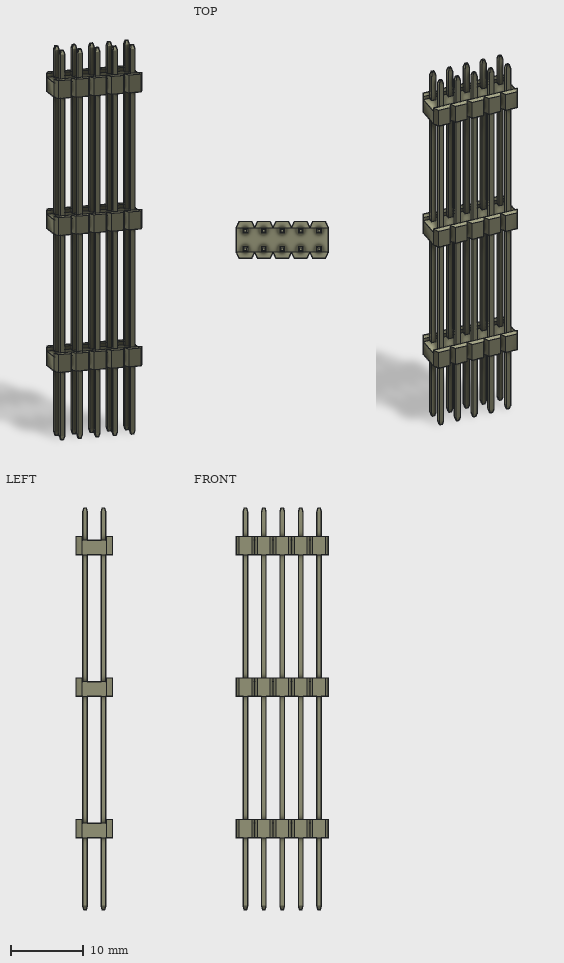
import cadquery as cq

length = 12.7
width = 5.1
pin_length = 55.5

columns = 5
rows = 2
pitch = length / columns

pin_side = 0.65
tip_side = 0.355
tip_height = 0.55

spacer_count = 3
spacer_height = 2.55
spacer_spacing = 19.55
lowest_spacer_z = 9.95
notch_half_width = 0.4
notch_depth = 0.85

channel_width = 3.35
channel_depth = 0.5


def spacer_outline():
    """Chain of cells with bevelled corners that leave a V notch between neighbours."""
    shoulder_y = width / 2 - notch_depth
    front_edge = []
    for column in range(columns):
        left = -length / 2 + column * pitch
        right = left + pitch
        front_edge += [
            (left, -shoulder_y),
            (left + notch_half_width, -width / 2),
            (right - notch_half_width, -width / 2),
        ]
    front_edge.append((length / 2, -shoulder_y))
    back_edge = [(x, -y) for x, y in reversed(front_edge)]
    return front_edge + back_edge


def make_spacer(bottom_z):
    block = cq.Workplane("XY").polyline(spacer_outline()).close().extrude(spacer_height)
    channel = (
        cq.Workplane("XY")
        .workplane(offset=spacer_height - channel_depth)
        .rect(length, channel_width)
        .extrude(channel_depth)
    )
    return block.cut(channel).translate((0, 0, bottom_z))


def make_tip():
    """Square taper standing on the XY plane."""
    return (
        cq.Workplane("XY")
        .rect(pin_side, pin_side)
        .workplane(offset=tip_height)
        .rect(tip_side, tip_side)
        .loft(ruled=True)
    )


def make_pin(x, y):
    shank_length = pin_length - 2 * tip_height
    shank = cq.Workplane("XY").rect(pin_side, pin_side).extrude(shank_length)
    top_tip = make_tip().translate((0, 0, shank_length))
    bottom_tip = make_tip().mirror("XY")
    pin = shank.union(top_tip).union(bottom_tip)
    return pin.translate((x, y, tip_height))


result = make_spacer(lowest_spacer_z)
for level in range(1, spacer_count):
    result = result.union(make_spacer(lowest_spacer_z + level * spacer_spacing))

for column in range(columns):
    for row in range(rows):
        pin_x = (column - (columns - 1) / 2) * pitch
        pin_y = (row - (rows - 1) / 2) * pitch
        result = result.union(make_pin(pin_x, pin_y))